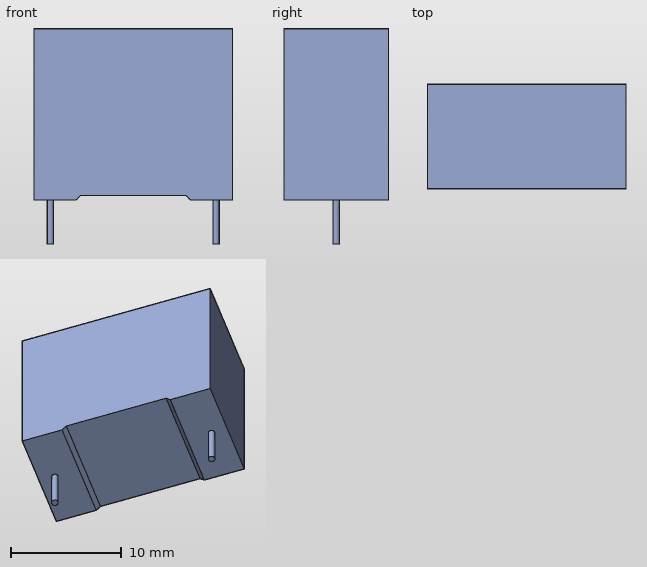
import cadquery as cq

total_height = 19.5
body_length = 18.0
body_width = 9.5
lead_length = 4.0
lead_diameter = 0.6
lead_pitch = 15.0
lead_embed = 0.98

relief_depth = 0.4
relief_mouth_length = 10.35
relief_roof_length = 9.54

body_height = total_height - lead_length


def make_body():
    return cq.Workplane("XY").workplane(offset=lead_length).box(
        body_length, body_width, body_height, centered=(True, True, False)
    )


def make_relief():
    body_bottom = lead_length
    relief_roof = body_bottom + relief_depth
    outline = [
        (-relief_mouth_length / 2, body_bottom),
        (-relief_roof_length / 2, relief_roof),
        (relief_roof_length / 2, relief_roof),
        (relief_mouth_length / 2, body_bottom),
    ]
    return cq.Workplane("XZ").polyline(outline).close().extrude(body_width / 2, both=True)


def make_leads():
    return (
        cq.Workplane("XY")
        .pushPoints([(-lead_pitch / 2, 0), (lead_pitch / 2, 0)])
        .circle(lead_diameter / 2)
        .extrude(lead_length + lead_embed)
    )


result = make_body().cut(make_relief()).union(make_leads())